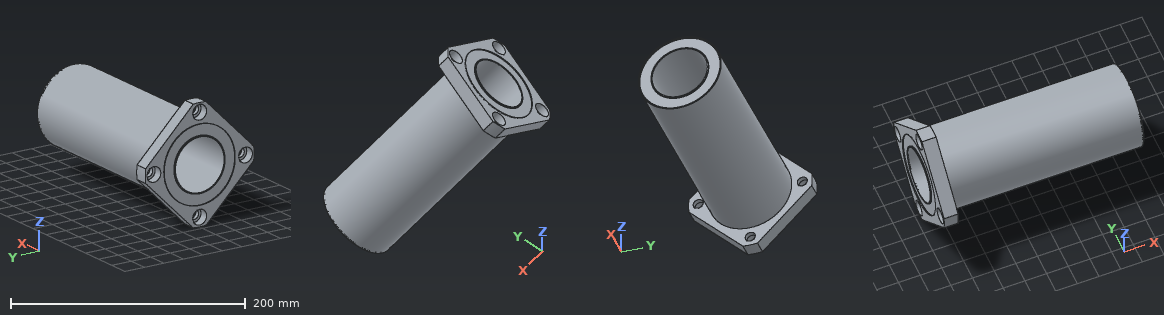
import cadquery as cq

total_length = 192.0
body_diameter = 75.0
bore_diameter = 50.0

flange_diameter = 112.0
flange_thickness = 13.0
flange_width = 88.0

bolt_circle_diameter = 94.0
hole_diameter = 9.0
counterbore_diameter = 14.0
counterbore_depth = 8.6
hole_count = 4

recess_outer_diameter = 73.0
lip_diameter = 52.0
recess_depth = 1.0


def cylinder(diameter, start, length):
    """Solid cylinder on the X axis, from X = start."""
    return cq.Workplane("YZ").workplane(offset=start).circle(diameter / 2).extrude(length)


def make_flange():
    square = (
        cq.Workplane("YZ")
        .transformed(rotate=(0, 0, 45))
        .rect(flange_width, flange_width)
        .extrude(flange_thickness)
    )
    return square.intersect(cylinder(flange_diameter, 0, flange_thickness))


def cut_mounting_holes(part):
    radius = bolt_circle_diameter / 2
    for diameter, depth in (
        (hole_diameter, flange_thickness),
        (counterbore_diameter, counterbore_depth),
    ):
        holes = (
            cq.Workplane("YZ")
            .polarArray(radius, 0, 360, hole_count)
            .circle(diameter / 2)
            .extrude(depth)
        )
        part = part.cut(holes)
    return part


def cut_end_recesses(part):
    """Cut the same ring recess into both ends of the body."""
    for start in (0, total_length - recess_depth):
        ring = cylinder(recess_outer_diameter, start, recess_depth)
        ring = ring.cut(cylinder(lip_diameter, start, recess_depth))
        part = part.cut(ring)
    return part


body = cylinder(body_diameter, 0, total_length)
bushing = make_flange().union(body)
bushing = bushing.cut(cylinder(bore_diameter, 0, total_length))
bushing = cut_mounting_holes(bushing)
result = cut_end_recesses(bushing)